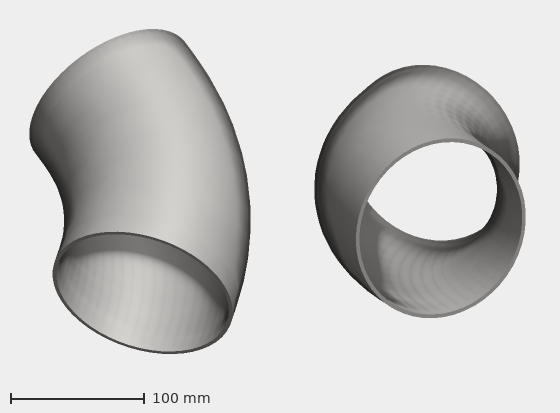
import cadquery as cq
import math

outer_diameter = 139.7
inner_diameter = 134.0
bend_radius = 210.1
bend_angle = 45.0
collar_length = 15.0

angle = math.radians(bend_angle)
half_angle = angle / 2


def point_on_bend(turn):
    """Centreline point after turning through the given angle in radians."""
    x = -bend_radius * (1 - math.cos(turn))
    y = collar_length + bend_radius * math.sin(turn)
    return x, y


bend_start = point_on_bend(0)
bend_middle = point_on_bend(half_angle)
bend_end = point_on_bend(angle)
outlet = (
    bend_end[0] - collar_length * math.sin(angle),
    bend_end[1] + collar_length * math.cos(angle),
)

centreline = (
    cq.Workplane("XY")
    .lineTo(*bend_start)
    .threePointArc(bend_middle, bend_end)
    .lineTo(*outlet)
)

result = (
    cq.Workplane("XZ")
    .circle(outer_diameter / 2)
    .circle(inner_diameter / 2)
    .sweep(centreline)
)